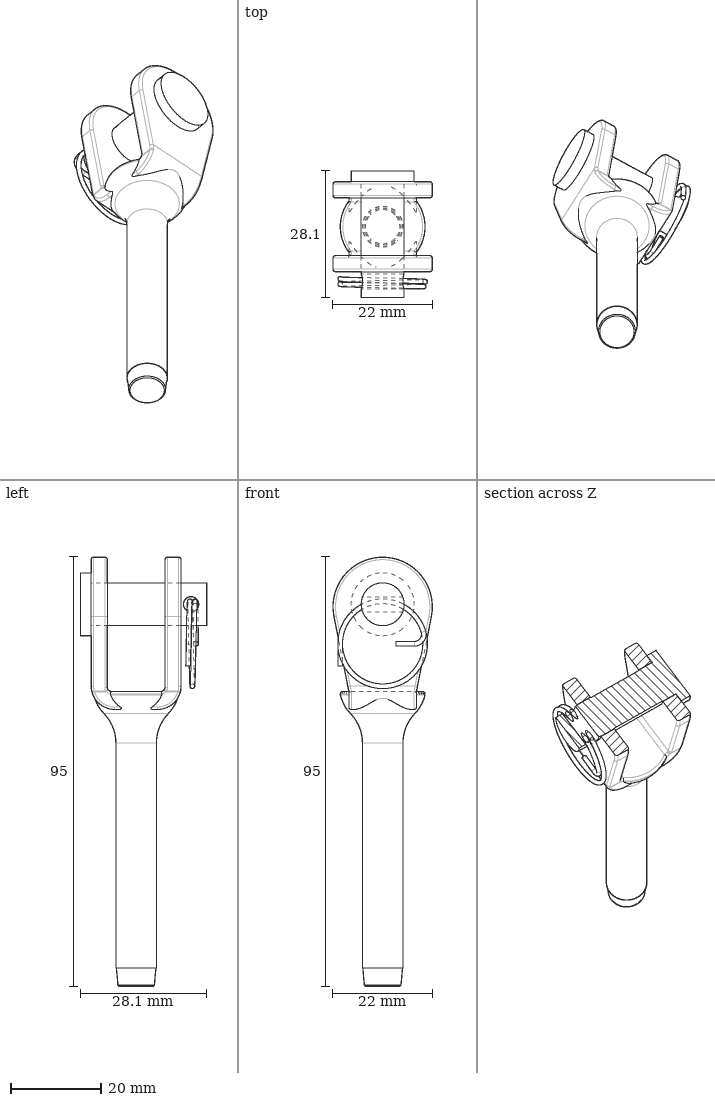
import cadquery as cq
import math

height = 95.0

head_radius = 11.0
head_z = height - head_radius
cheek_outer_y = 10.0
cheek_inner_y = 6.4
cheek_foot_half_width = 7.5
cheek_foot_blend = 0.95
bend_radius = 5.2
bend_z = 66.5
floor_z = 65.2
floor_corner_radius = 0.95
edge_fillet = 0.6

rim_radius = 9.4
rim_bottom_z = 64.5
flare_radius = 7.1
flare_top_z = 60.3
shank_radius = 9.0 / 2
shank_top_z = 53.8
tip_z = 4.0
tip_top_radius = 8.8 / 2
tip_bottom_radius = 4.1
tip_chamfer = 0.3

pin_radius = 9.5 / 2
pin_z = 84.5
pin_end_y = -15.7
pin_head_radius = 14.0 / 2
pin_head_thickness = 2.4
ring_hole_radius = 3.3 / 2
ring_hole_y = -12.2

wire_radius = 1.0 / 2
ring_radius = 9.4
ring_z = 75.8
ring_start_y = -11.6
ring_pitch = 1.1
leg_length = 4.9
hook_bend_x = 7.0
hook_length = 4.1
coil_points = 120


def cheek_outline():
    """Rounded head whose straight sides taper down to the foot, as a block along Y."""
    foot_drop = head_z - floor_z
    foot_distance = math.hypot(cheek_foot_half_width, foot_drop)
    tangent_angle = math.acos(head_radius / foot_distance) - math.atan2(foot_drop, cheek_foot_half_width)
    tangent_x = head_radius * math.cos(tangent_angle)
    tangent_z = head_z + head_radius * math.sin(tangent_angle)
    bottom_z = bend_z - bend_radius
    foot_corners = cq.selectors.BoxSelector(
        (-head_radius, -cheek_outer_y, floor_z - cheek_foot_blend),
        (head_radius, cheek_outer_y, floor_z + cheek_foot_blend),
    )
    return (
        cq.Workplane("XZ", origin=(0, cheek_outer_y, 0))
        .moveTo(-cheek_foot_half_width, bottom_z)
        .lineTo(cheek_foot_half_width, bottom_z)
        .lineTo(cheek_foot_half_width, floor_z)
        .lineTo(tangent_x, tangent_z)
        .threePointArc((0, height), (-tangent_x, tangent_z))
        .lineTo(-cheek_foot_half_width, floor_z)
        .close()
        .extrude(2 * cheek_outer_y)
        .edges(foot_corners)
        .fillet(cheek_foot_blend)
    )


def make_yoke():
    """Both cheeks and the bend below them, with every long edge rounded."""
    bend_reach = bend_radius * math.sqrt(0.5)
    bend_center_y = cheek_outer_y - bend_radius
    side_profile = (
        cq.Workplane("YZ", origin=(-head_radius, 0, 0))
        .moveTo(-cheek_outer_y, height)
        .lineTo(-cheek_outer_y, bend_z)
        .threePointArc(
            (-bend_center_y - bend_reach, bend_z - bend_reach),
            (-bend_center_y, bend_z - bend_radius),
        )
        .lineTo(bend_center_y, bend_z - bend_radius)
        .threePointArc(
            (bend_center_y + bend_reach, bend_z - bend_reach),
            (cheek_outer_y, bend_z),
        )
        .lineTo(cheek_outer_y, height)
        .close()
        .extrude(2 * head_radius)
    )
    opening = (
        cq.Workplane("XY", origin=(0, 0, floor_z))
        .rect(2 * head_radius, 2 * cheek_inner_y)
        .extrude(height)
        .edges("|X and <Z")
        .fillet(floor_corner_radius)
    )
    block = side_profile.intersect(cheek_outline()).edges("not (|X or |Y)").fillet(edge_fillet)
    opening_reach = cheek_inner_y + edge_fillet / 2
    opening_region = cq.selectors.BoxSelector(
        (-head_radius, -opening_reach, floor_z - edge_fillet),
        (head_radius, opening_reach, height),
    )
    return block.cut(opening).edges(opening_region).edges("not (|X or |Y)").fillet(edge_fillet)


def make_base():
    """Turned shank that flares out to the round floor of the fork."""
    arc_sweep = 2 * math.atan2(flare_radius - shank_radius, flare_top_z - shank_top_z)
    arc_radius = (flare_top_z - shank_top_z) / math.sin(arc_sweep)
    arc_middle = (
        shank_radius + arc_radius * (1 - math.cos(arc_sweep / 2)),
        shank_top_z + arc_radius * math.sin(arc_sweep / 2),
    )
    return (
        cq.Workplane("XZ")
        .lineTo(tip_bottom_radius - tip_chamfer, 0)
        .lineTo(tip_bottom_radius, tip_chamfer)
        .lineTo(tip_top_radius, tip_z)
        .lineTo(shank_radius, tip_z)
        .lineTo(shank_radius, shank_top_z)
        .threePointArc(arc_middle, (flare_radius, flare_top_z))
        .tangentArcPoint((rim_radius, rim_bottom_z), relative=False)
        .lineTo(rim_radius, floor_z)
        .lineTo(0, floor_z)
        .close()
        .revolve(360, (0, 0, 0), (0, 1, 0))
        .faces(">Z")
        .edges()
        .fillet(edge_fillet)
    )


def make_fork():
    """Yoke and turned base as one body, drilled for the clevis pin."""
    pin_hole = (
        cq.Workplane("XZ", origin=(0, cheek_outer_y, pin_z))
        .circle(pin_radius)
        .extrude(2 * cheek_outer_y)
    )
    return make_yoke().union(make_base()).cut(pin_hole)


def make_pin():
    """Headed pin with a cross hole for the ring near its free end."""
    shaft = (
        cq.Workplane("XZ", origin=(0, cheek_outer_y, pin_z))
        .circle(pin_radius)
        .extrude(cheek_outer_y - pin_end_y)
    )
    head = (
        cq.Workplane("XZ", origin=(0, cheek_outer_y, pin_z))
        .circle(pin_head_radius)
        .extrude(-pin_head_thickness)
    )
    ring_hole = (
        cq.Workplane("YZ", origin=(-pin_radius, ring_hole_y, pin_z))
        .circle(ring_hole_radius)
        .extrude(2 * pin_radius)
    )
    return shaft.union(head).cut(ring_hole)


def coil_point(angle):
    """Point on the coil, turning clockwise from its -X side and advancing toward -Y."""
    return (
        -ring_radius * math.cos(angle),
        ring_start_y - ring_pitch * angle / (2 * math.pi),
        ring_z + ring_radius * math.sin(angle),
    )


def make_ring():
    """Straight leg, one and a half turns of coil, and a hook bent inward to a straight end."""
    hook_bend_radius = (ring_radius**2 - hook_bend_x**2) / (2 * ring_radius)
    hook_angle = math.atan2(hook_bend_radius, hook_bend_x)
    coil = cq.Workplane("XY").parametricCurve(
        coil_point, N=coil_points, start=0, stop=3 * math.pi - hook_angle, makeWire=False
    ).val()

    leg_bottom = coil.startPoint() - coil.tangentAt(0) * leg_length
    leg = cq.Edge.makeLine(leg_bottom, coil.startPoint())
    bend = cq.Edge.makeTangentArc(
        coil.endPoint(), coil.tangentAt(1), cq.Vector(hook_bend_x, coil.endPoint().y, ring_z)
    )
    hook_end = bend.endPoint() + bend.tangentAt(1) * hook_length
    hook = cq.Edge.makeLine(bend.endPoint(), hook_end)

    path = cq.Wire.assembleEdges([leg, coil, bend, hook])
    section = cq.Plane(origin=leg_bottom, normal=coil.tangentAt(0))
    return cq.Workplane(section).circle(wire_radius).sweep(path)


fork = make_fork()
pin = make_pin()
ring = make_ring()

result = cq.Compound.makeCompound([fork.val(), pin.val(), ring.val()])